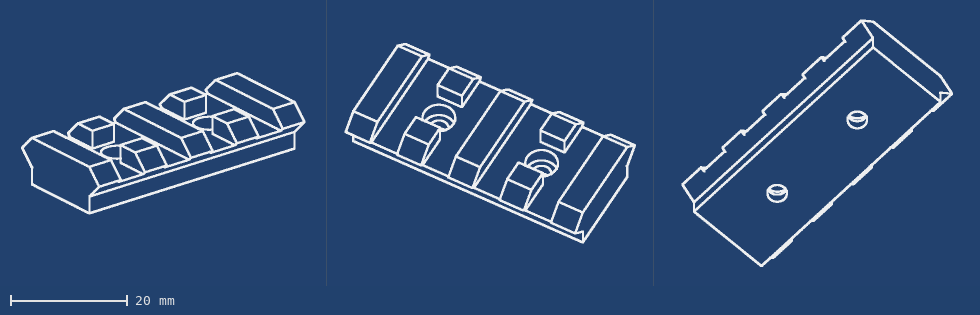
import cadquery as cq

length = 44.75
width = 21.3
height = 8.7
base_width = 15.85
base_height = 3.15
tooth_count = 5
slot_width = 5.3
slot_floor = 5.35

hole_diameter = 3.3
counterbore_diameter = 5.6
counterbore_depth = 3.0
clearance_width = 7.75

tooth_length = (length - (tooth_count - 1) * slot_width) / tooth_count
pitch = tooth_length + slot_width
tooth_height = height - slot_floor
tip_height = (base_height + height) / 2


def rail_body():
    """Full-length rail: a narrow base under a head with pointed sides."""
    right_side = [
        (base_width / 2, 0),
        (base_width / 2, base_height),
        (width / 2, tip_height),
        (base_width / 2, height),
    ]
    left_side = [(-x, z) for x, z in reversed(right_side)]
    outline = cq.Workplane("XZ").polyline(right_side + left_side).close()
    return outline.extrude(length / 2, both=True)


def top_cut(size_x, size_y, center_y):
    """Box from the slot floor up to the top of the rail."""
    return (
        cq.Workplane("XY", origin=(0, center_y, slot_floor))
        .rect(size_x, size_y)
        .extrude(tooth_height)
    )


result = rail_body()

for slot in range(tooth_count - 1):
    slot_y = (slot - (tooth_count - 2) / 2) * pitch
    result = result.cut(top_cut(width, slot_width, slot_y))

for hole_y in (-pitch, pitch):
    result = result.cut(top_cut(clearance_width, tooth_length, hole_y))
    result = (
        result.copyWorkplane(cq.Workplane("XY", origin=(0, hole_y, slot_floor)))
        .cboreHole(hole_diameter, counterbore_diameter, counterbore_depth)
    )